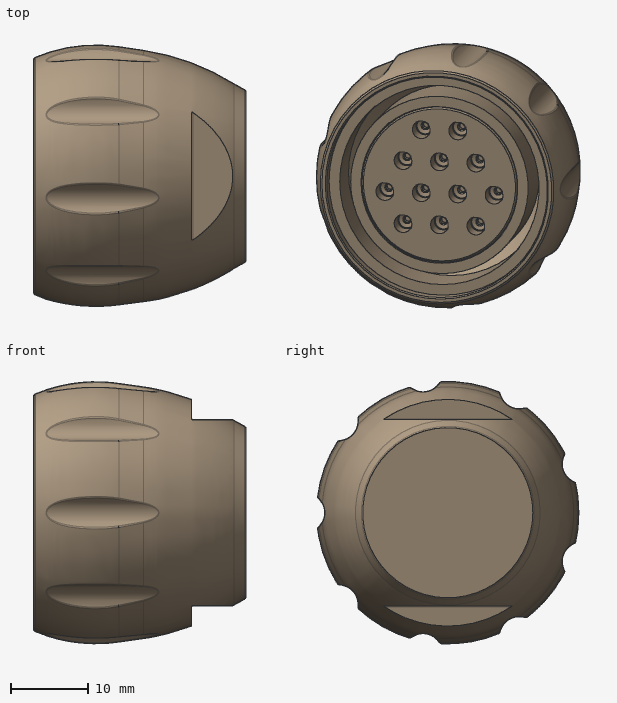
import cadquery as cq
import math

LENGTH = 27.5
MOUTH_RADIUS = 15.27
MOUTH_CHAMFER = 0.17
MAX_RADIUS = 16.97
MAX_RADIUS_X = 8.08
FRONT_ARC_END_X = 11.03
REAR_ARC_START_X = 14.22
REAR_ARC_END_X = 25.93
REAR_ARC_END_RADIUS = 11.95
REAR_CONE_END_X = 27.32
REAR_CONE_END_RADIUS = 11.15
REAR_RADIUS = 11.0

RECESS_RADIUS = 29.0 / 2
RECESS_CHAMFER = 0.17
RECESS_DEPTH = 1.85
GROOVE_OUTER_RADIUS = 26.2 / 2
GROOVE_INNER_RADIUS = 23.3 / 2
GROOVE_DEPTH = 8.15
GROOVE_FLOOR_ANGLE = 50.0

DIMPLE_COUNT = 9
DIMPLE_CUTTER_RADIUS = 2.55
DIMPLE_FLOOR_RADIUS = 15.92
DIMPLE_EDGE_FILLET = 0.27

FLAT_DISTANCE = 12.05
FLAT_START_X = 20.45
FLAT_CORNER_FILLET = 0.15

INSERT_RADIUS = 20.4 / 2
INSERT_BORE_RADIUS = 20.6 / 2
INSERT_CHAMFER = 0.2
INSERT_LENGTH = GROOVE_DEPTH

HOLE_PITCH = 4.8
HOLE_ROW_PITCH = HOLE_PITCH * math.sqrt(3) / 2
HOLE_ROW_COUNTS = [3, 4, 3, 2]
FIRST_ROW_Z = -5.25
HOLE_RADIUS = 2.3 / 2
HOLE_DEPTH = 2.7
HOLE_BOTTOM_CHAMFER = 0.1
HOLE_CONE_DEPTH = 0.17
SOCKET_RADIUS = 0.8 / 2
SOCKET_CHAMFER = 0.15
SOCKET_DEPTH = 1.02


def revolve_about_x(outline):
    """Turn a closed outline of (x, radius) points about the X axis."""
    return outline.close().revolve(360, (0, 0, 0), (1, 0, 0))


def make_barrel():
    crest_rise = MAX_RADIUS - MOUTH_RADIUS
    front_arc_radius = (crest_rise**2 + MAX_RADIUS_X**2) / (2 * crest_rise)
    arc_center_radius = MAX_RADIUS - front_arc_radius

    def front_arc_point(x):
        return x, arc_center_radius + math.sqrt(front_arc_radius**2 - (x - MAX_RADIUS_X) ** 2)

    arc_end = front_arc_point(FRONT_ARC_END_X)
    slope = (MAX_RADIUS_X - FRONT_ARC_END_X) / (arc_end[1] - arc_center_radius)
    cone_end = (REAR_ARC_START_X, arc_end[1] + slope * (REAR_ARC_START_X - FRONT_ARC_END_X))
    outline = (
        cq.Workplane("XY")
        .lineTo(0, MOUTH_RADIUS - MOUTH_CHAMFER)
        .lineTo(*front_arc_point(MOUTH_CHAMFER))
        .threePointArc((MAX_RADIUS_X, MAX_RADIUS), arc_end)
        .lineTo(*cone_end)
        .tangentArcPoint((REAR_ARC_END_X, REAR_ARC_END_RADIUS), relative=False)
        .lineTo(REAR_CONE_END_X, REAR_CONE_END_RADIUS)
        .lineTo(LENGTH, REAR_RADIUS)
        .lineTo(LENGTH, 0)
    )
    return revolve_about_x(outline)


def make_mouth_cutter():
    groove_width = GROOVE_OUTER_RADIUS - GROOVE_INNER_RADIUS
    floor_length = groove_width * math.tan(math.radians(GROOVE_FLOOR_ANGLE))
    outline = (
        cq.Workplane("XY")
        .lineTo(0, RECESS_RADIUS + RECESS_CHAMFER)
        .lineTo(RECESS_CHAMFER, RECESS_RADIUS)
        .lineTo(RECESS_DEPTH, RECESS_RADIUS)
        .lineTo(RECESS_DEPTH, GROOVE_OUTER_RADIUS)
        .lineTo(RECESS_DEPTH + GROOVE_DEPTH - floor_length, GROOVE_OUTER_RADIUS)
        .lineTo(RECESS_DEPTH + GROOVE_DEPTH, GROOVE_INNER_RADIUS)
        .lineTo(RECESS_DEPTH, GROOVE_INNER_RADIUS)
        .lineTo(RECESS_DEPTH, INSERT_BORE_RADIUS)
        .lineTo(RECESS_DEPTH + INSERT_LENGTH, INSERT_BORE_RADIUS)
        .lineTo(RECESS_DEPTH + INSERT_LENGTH, 0)
    )
    return revolve_about_x(outline)


def cut_dimples(body):
    axis_distance = DIMPLE_FLOOR_RADIUS + DIMPLE_CUTTER_RADIUS
    cutter = cq.Workplane("YZ").center(-axis_distance, 0).circle(DIMPLE_CUTTER_RADIUS).extrude(LENGTH)
    for i in range(DIMPLE_COUNT):
        body = body.cut(cutter.rotate((0, 0, 0), (1, 0, 0), i * 360 / DIMPLE_COUNT))
    rims = []
    for face in body.faces("%CYLINDER").vals():
        rims += face.Edges()
    return body.newObject(rims).fillet(DIMPLE_EDGE_FILLET)


def cut_flats(body):
    for side in (1, -1):
        cutter = cq.Workplane("XY").box(LENGTH, 2 * MAX_RADIUS, MAX_RADIUS, centered=(False, True, True))
        inner_edge = "<X and <Z" if side > 0 else "<X and >Z"
        cutter = cutter.edges(inner_edge).fillet(FLAT_CORNER_FILLET)
        body = body.cut(cutter.translate((FLAT_START_X, 0, side * (FLAT_DISTANCE + MAX_RADIUS / 2))))
    return body


def make_shell():
    return cut_flats(cut_dimples(make_barrel())).cut(make_mouth_cutter())


def make_hole_cutter():
    cone_start = HOLE_DEPTH + HOLE_BOTTOM_CHAMFER
    cone_end = cone_start + HOLE_CONE_DEPTH
    outline = (
        cq.Workplane("XY")
        .lineTo(0, HOLE_RADIUS)
        .lineTo(HOLE_DEPTH, HOLE_RADIUS)
        .lineTo(cone_start, HOLE_RADIUS - HOLE_BOTTOM_CHAMFER)
        .lineTo(cone_end, SOCKET_RADIUS + SOCKET_CHAMFER)
        .lineTo(cone_end + SOCKET_CHAMFER, SOCKET_RADIUS)
        .lineTo(cone_end + SOCKET_DEPTH, SOCKET_RADIUS)
        .lineTo(cone_end + SOCKET_DEPTH, 0)
    )
    return revolve_about_x(outline).translate((RECESS_DEPTH, 0, 0))


def make_insert():
    insert = cq.Workplane("YZ").circle(INSERT_RADIUS).extrude(INSERT_LENGTH)
    insert = insert.faces("<X").chamfer(INSERT_CHAMFER).translate((RECESS_DEPTH, 0, 0))
    cutter = make_hole_cutter()
    for row, count in enumerate(HOLE_ROW_COUNTS):
        z = FIRST_ROW_Z + row * HOLE_ROW_PITCH
        for i in range(count):
            insert = insert.cut(cutter.translate((0, (i - (count - 1) / 2) * HOLE_PITCH, z)))
    return insert


shell = make_shell()
insert = make_insert()
result = cq.Compound.makeCompound([shell.val(), insert.val()])